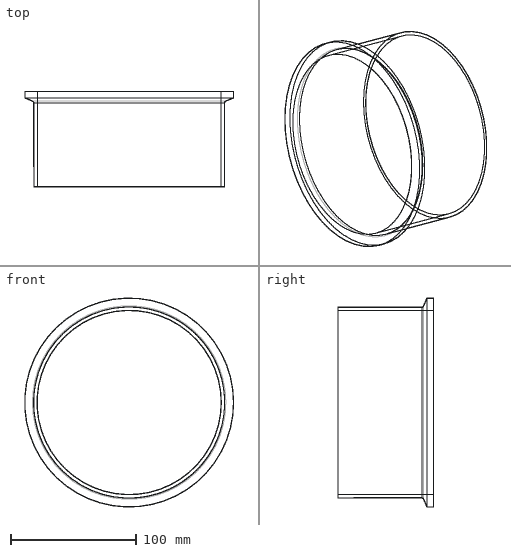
import cadquery as cq

flange_diameter = 166.9
tube_outer_diameter = 152.5
bore_diameter = 146.9
length = 76.3
rim_thickness = 5.3
taper_length = 3.0
neck_fillet_radius = 1.5

flange_radius = flange_diameter / 2
tube_radius = tube_outer_diameter / 2
bore_radius = bore_diameter / 2

rim_back = length - rim_thickness
taper_end = rim_back - taper_length

section = (
    cq.Workplane("XY")
    .moveTo(bore_radius, 0)
    .lineTo(tube_radius, 0)
    .lineTo(tube_radius, taper_end)
    .lineTo(flange_radius, rim_back)
    .lineTo(flange_radius, length)
    .lineTo(bore_radius, length)
    .close()
)
ferrule = section.revolve(360, (0, 0, 0), (0, 1, 0))

neck_edge = cq.selectors.BoxSelector(
    (-flange_radius, taper_end - neck_fillet_radius, -flange_radius),
    (flange_radius, taper_end + neck_fillet_radius, flange_radius),
)
result = ferrule.edges("%CIRCLE").edges(neck_edge).fillet(neck_fillet_radius)